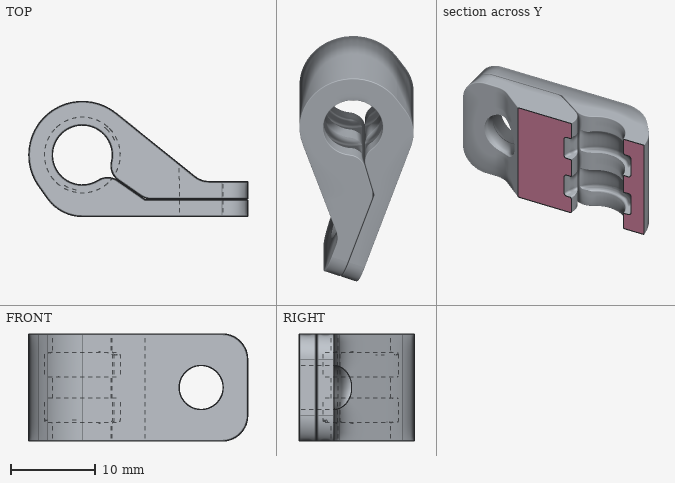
import cadquery as cq
import math

length = 25.95
height = 12.7
head_radius = 6.35
head_x = head_radius
head_y = 7.3
heel_radius = 5.05
lug_stack = 4.15
neck_radius = 2.72
slope_angle = 38.8
lug_corner_radius = 3.03
edge_round = 0.1

slot_gap = 0.1
slot_y = 2.05
slot_bend_x = 13.8
slot_angle = 34.7
slot_bend_round = 2.08
slot_mouth_round = 2.08

bore_radius = 3.53
groove_radius = 4.5
groove_start = 2.23
groove_end = 5.14
groove_corner_round = 0.29
groove_lip_round = 0.2

screw_radius = 2.6
screw_x = 20.41


def point_on_circle(center_x, center_y, radius, degrees):
    angle = math.radians(degrees)
    return (center_x + radius * math.cos(angle), center_y + radius * math.sin(angle))


def make_body():
    """Extruded outline: head, tangent slope to the lugs, flat base and rounded heel."""
    slope_start_angle = 90 - slope_angle
    slope_start = point_on_circle(head_x, head_y, head_radius, slope_start_angle)
    slope_run = (slope_start[1] - lug_stack) / math.tan(math.radians(slope_angle))
    neck_x = slope_start[0] + slope_run

    tilt = math.degrees(math.asin((head_radius - heel_radius) / (head_y - heel_radius)))
    tangent_angle = 180 + tilt
    head_end = point_on_circle(head_x, head_y, head_radius, tangent_angle)
    heel_start = point_on_circle(head_x, heel_radius, heel_radius, tangent_angle)
    heel_mid = point_on_circle(head_x, heel_radius, heel_radius, (tangent_angle + 270) / 2)
    head_mid = point_on_circle(head_x, head_y, head_radius, (slope_start_angle + tangent_angle) / 2)

    body = (
        cq.Workplane("XY")
        .moveTo(head_x, 0)
        .lineTo(length, 0)
        .lineTo(length, lug_stack)
        .lineTo(neck_x, lug_stack)
        .lineTo(*slope_start)
        .threePointArc(head_mid, head_end)
        .lineTo(*heel_start)
        .threePointArc(heel_mid, (head_x, 0))
        .close()
        .extrude(height)
    )
    neck_edge = cq.selectors.NearestToPointSelector((neck_x, lug_stack, height / 2))
    body = body.edges(neck_edge).fillet(neck_radius)
    return body.edges("|Y").edges(">X").fillet(lug_corner_radius)


def make_slot():
    """Thin bent slit from the lug ends up into the bore."""
    rise = math.tan(math.radians(slot_angle))
    half_gap = slot_gap / 2
    steep_half_gap = half_gap / math.cos(math.radians(slot_angle))
    bend_shift = (steep_half_gap - half_gap) / rise
    start_y = slot_y + (slot_bend_x - head_x) * rise
    slot = (
        cq.Workplane("XY")
        .moveTo(length, slot_y - half_gap)
        .lineTo(slot_bend_x - bend_shift, slot_y - half_gap)
        .lineTo(head_x, start_y - steep_half_gap)
        .lineTo(head_x, start_y + steep_half_gap)
        .lineTo(slot_bend_x + bend_shift, slot_y + half_gap)
        .lineTo(length, slot_y + half_gap)
        .close()
        .extrude(height)
    )
    bend_edge = cq.selectors.NearestToPointSelector(
        (slot_bend_x + bend_shift, slot_y + half_gap, height / 2))
    return slot.edges(bend_edge).fillet(slot_bend_round)


def round_slot_mouth(body):
    """Blend the two corners where the slot opens into the bore."""
    slope = math.radians(slot_angle)
    mouth = (head_x + bore_radius * math.cos(slope), head_y - bore_radius * math.sin(slope))
    reach = 0.25
    near_mouth = cq.selectors.BoxSelector(
        (mouth[0] - reach, mouth[1] - reach, 0),
        (mouth[0] + reach, mouth[1] + reach, height),
    )
    return body.edges("|Z").edges(near_mouth).fillet(slot_mouth_round)


def round_end_outlines(body):
    """Round every outline of the end faces, running on around the lug corners and ends."""
    corner_x = length - lug_corner_radius
    tolerance = 0.003
    corner_seams = cq.selectors.BoxSelector(
        (corner_x - tolerance, 0, 0), (corner_x + tolerance, lug_stack, height))
    outlines = body.faces("|Z").edges(cq.selectors.SubtractSelector(
        cq.selectors.StringSyntaxSelector("#Z"), corner_seams))
    return outlines.fillet(edge_round)


def make_groove():
    """Ring groove with rounded floor corners and a rounded lip towards the end face."""
    corner = groove_corner_round
    diagonal = math.sqrt(0.5)
    lip_x = bore_radius + groove_lip_round
    lip_z = groove_start - groove_lip_round
    lip_mid = (lip_x - groove_lip_round * diagonal, lip_z + groove_lip_round * diagonal)
    profile = (
        cq.Workplane("XZ")
        .moveTo(0, lip_z)
        .lineTo(bore_radius, lip_z)
        .threePointArc(lip_mid, (lip_x, groove_start))
        .lineTo(groove_radius - corner, groove_start)
        .radiusArc((groove_radius, groove_start + corner), -corner)
        .lineTo(groove_radius, groove_end - corner)
        .radiusArc((groove_radius - corner, groove_end), -corner)
        .lineTo(0, groove_end)
        .close()
    )
    return profile.revolve(360, (0, 0, 0), (0, 1, 0)).translate((head_x, head_y, 0))


bore = cq.Workplane("XY").center(head_x, head_y).circle(bore_radius).extrude(height)
screw_hole = (
    cq.Workplane("XZ").center(screw_x, height / 2).circle(screw_radius).extrude(-head_y)
)
lower_groove = make_groove()
upper_groove = lower_groove.mirror("XY", (0, 0, height / 2))

result = make_body().cut(bore).cut(make_slot())
result = round_slot_mouth(result)
result = round_end_outlines(result)
result = result.cut(lower_groove).cut(upper_groove).cut(screw_hole)